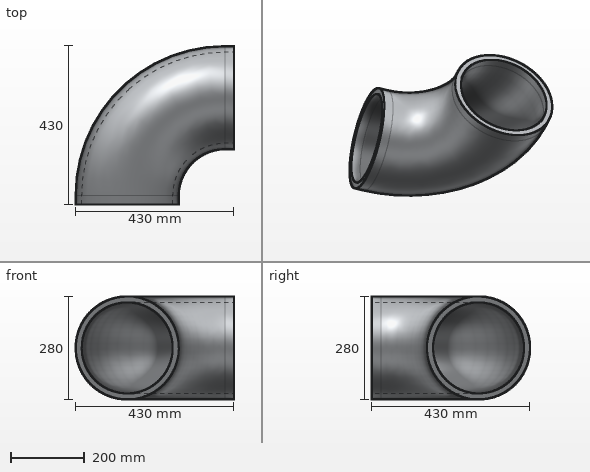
import cadquery as cq

outer_diameter = 280.0
wall_thickness = 16.6
bend_radius = 265.0
bend_angle = 90.0
end_length = 25.0

inner_diameter = outer_diameter - 2 * wall_thickness

front_joint = (0, 0, 0)
front_direction = (0, -1, 0)
side_joint = (bend_radius, bend_radius, 0)
side_direction = (1, 0, 0)


def pipe_section(centre, normal):
    """Annular pipe cross-section, square to the given normal."""
    plane = cq.Plane(origin=centre, xDir=(0, 0, 1), normal=normal)
    return cq.Workplane(plane).circle(outer_diameter / 2).circle(inner_diameter / 2)


def make_bend():
    """Quarter-torus shell about a vertical axis, joining the two stubs."""
    axis_start = (0, -bend_radius, 0)
    axis_end = (-1, -bend_radius, 0)
    return pipe_section(front_joint, front_direction).revolve(bend_angle, axis_start, axis_end)


def make_stub(joint, direction):
    """Straight pipe stub leaving the bend in the given direction."""
    return pipe_section(joint, direction).extrude(end_length)


front_stub = make_stub(front_joint, front_direction)
side_stub = make_stub(side_joint, side_direction)

result = make_bend().union(front_stub).union(side_stub)